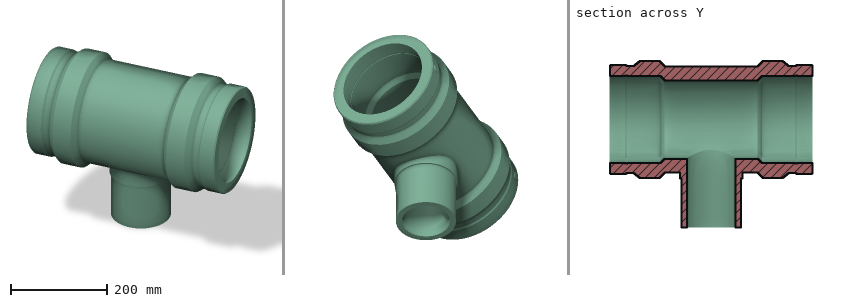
import cadquery as cq

run_length = 422.0
run_diameter = 220.5
run_bore_diameter = 162.0
socket_diameter = 180.0
socket_depth = 105.5
socket_cone_length = 9.0

collar_diameter = 227.85
neck_diameter = 223.29
ring_diameter = 245.0
collar_bevel_length = 3.0
collar_end = 36.0
neck_end = 50.0
ring_start = 63.5
ring_end = 103.5
ring_taper_end = 115.5

groove_start = 33.0
groove_width = 4.0
groove_depth = 1.0

branch_diameter = 125.0
branch_bore_diameter = 100.0
branch_collar_diameter = 131.25
branch_collar_reach = ring_diameter / 2
branch_reach = 225.0

boss_diameter = 16.0
boss_from_end = 17.0
boss_reach = 116.0


def downward_cylinder(diameter, reach):
    """Cylinder about Z from the run axis down to the given distance below it."""
    return cq.Workplane("XY").circle(diameter / 2).extrude(-reach)


def mirrored_revolution(stations):
    """Revolve (distance from run end, diameter) stations about X, repeated on both ends."""
    left = [(distance - run_length / 2, diameter / 2) for distance, diameter in stations]
    right = [(-x, radius) for x, radius in reversed(left)]
    outline = [(-run_length / 2, 0)] + left + right + [(run_length / 2, 0)]
    return cq.Workplane("XY").polyline(outline).close().revolve(360, (0, 0, 0), (1, 0, 0))


def run_body():
    """Solid of revolution: collars, necks and rings mirrored about X = 0."""
    stations = [
        (0, neck_diameter),
        (collar_bevel_length, collar_diameter),
        (collar_end - collar_bevel_length, collar_diameter),
        (collar_end, neck_diameter),
        (neck_end, neck_diameter),
        (ring_start, ring_diameter),
        (ring_end, ring_diameter),
        (ring_taper_end, run_diameter),
    ]
    return mirrored_revolution(stations)


def terminal_boss(x):
    """Round boss standing radially on a collar toward +Y."""
    return cq.Workplane("XZ").center(x, 0).circle(boss_diameter / 2).extrude(-boss_reach)


def run_bore():
    """Through bore widening by a cone to a grooved socket at each end, mirrored about X = 0."""
    groove_end = groove_start + groove_width
    groove_diameter = socket_diameter + 2 * groove_depth
    stations = [
        (0, socket_diameter),
        (groove_start, socket_diameter),
        (groove_start, groove_diameter),
        (groove_end, groove_diameter),
        (groove_end, socket_diameter),
        (socket_depth, socket_diameter),
        (socket_depth + socket_cone_length, run_bore_diameter),
    ]
    return mirrored_revolution(stations)


result = run_body()
for side in (-1, 1):
    result = result.union(terminal_boss(side * (run_length / 2 - boss_from_end)))
result = result.union(downward_cylinder(branch_collar_diameter, branch_collar_reach))
result = result.union(downward_cylinder(branch_diameter, branch_reach))
result = result.cut(run_bore()).cut(downward_cylinder(branch_bore_diameter, branch_reach))